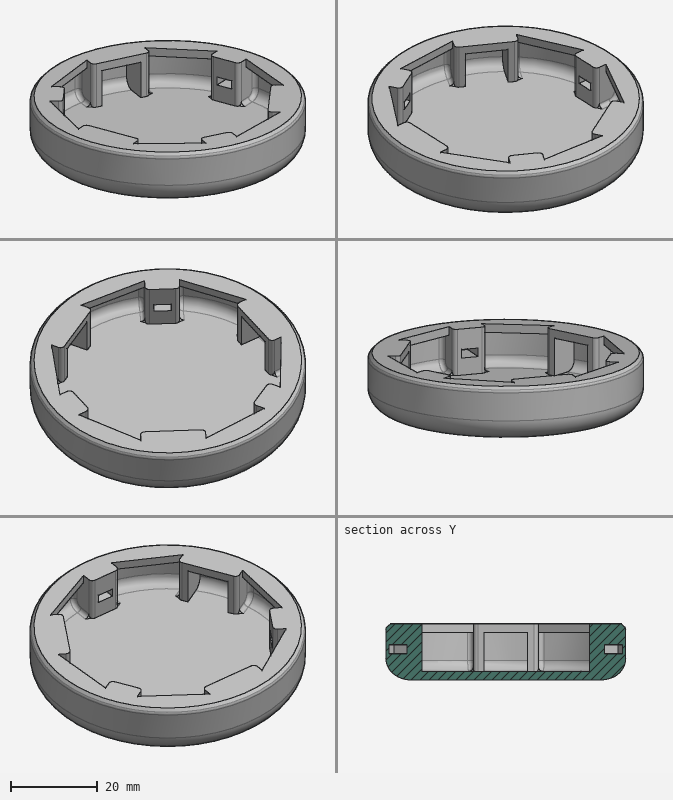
import cadquery as cq
import math

outer_radius = 31.75
height = 13.0
base_round = 5.0
rim_round_drop = 0.65
rim_round_inset = 0.25
rim_bevel_drop = 0.7
rim_bevel_inset = 0.7

floor_thickness = 2.05
wall_radius = 31.0
cavity_round = 2.5
lip_thickness = 2.05
lip_corner_radius = 27.3
lip_bottom = height - lip_thickness

narrow_angles = (90, 210, 330)
narrow_width = 8.0
narrow_front = 24.0
wide_angles = (30, 150, 270)
wide_width = 15.0
wide_front = 23.4
lugs = [(angle, narrow_width, narrow_front) for angle in narrow_angles]
lugs += [(angle, wide_width, wide_front) for angle in wide_angles]
lug_round = 1.0
foot_fillet = 1.0

window_width = 4.0
window_height = 2.05
window_bottom = 6.1
portal_width = 10.05

tolerance = 0.005


def turned(shape, angle):
    return shape.rotate((0, 0, 0), (0, 0, 1), angle)


def outward_block(front, width, bottom, top):
    """Block centred on the X axis, from the front distance out to the outer radius."""
    length = outer_radius - front
    return cq.Workplane("XY", origin=(front, 0, bottom)).box(
        length, width, top - bottom, centered=(False, True, False)
    )


def outer_shell():
    bevel_start = (outer_radius - rim_round_inset, height - rim_bevel_drop)
    return (
        cq.Workplane("XZ")
        .lineTo(outer_radius - base_round, 0)
        .radiusArc((outer_radius, base_round), -base_round)
        .lineTo(outer_radius, height - rim_bevel_drop - rim_round_drop)
        .tangentArcPoint(bevel_start, relative=False)
        .lineTo(bevel_start[0] - rim_bevel_inset, height)
        .lineTo(0, height)
        .close()
        .revolve(360, (0, 0, 0), (0, 1, 0))
    )


def round_cavity():
    """Round hollow between floor and lip, with its floor edge rounded."""
    hollow = (
        cq.Workplane("XY", origin=(0, 0, floor_thickness))
        .circle(wall_radius)
        .extrude(lip_bottom - floor_thickness)
    )
    return hollow.faces("<Z").edges().fillet(cavity_round)


def lip_opening():
    """Twelve-sided hole through the lip, with a corner at each side of each lug."""
    corners = []
    for angle, width, _ in sorted(lugs):
        half_angle = math.asin(width / 2 / lip_corner_radius)
        for side in (-1, 1):
            direction = math.radians(angle) + side * half_angle
            corners.append((lip_corner_radius * math.cos(direction), lip_corner_radius * math.sin(direction)))
    return cq.Workplane("XY", origin=(0, 0, lip_bottom)).polyline(corners).close().extrude(lip_thickness)


def fillet_lug_feet(space, angle, width, front):
    """Fillet the edges where both sides of one lug meet the wall and the floor."""
    facing = turned(space, -angle)
    feet = []
    for edge in facing.edges().vals():
        center = edge.Center()
        on_side = abs(abs(center.y) - width / 2) < tolerance
        at_front = center.x < front + lug_round + tolerance
        at_lip = center.z > lip_bottom - tolerance
        if on_side and not at_front and not at_lip:
            feet.append(edge)
    return turned(facing.newObject(feet).fillet(foot_fillet), angle)


def corner_foot(width, front):
    """Foot at one front corner of a lug, narrowing from the side fillet to nothing at the front."""
    side = width / 2
    inside = side - 2 * lug_round
    top = floor_thickness + foot_fillet
    front_edge = side - lug_round
    fillet_end = (
        cq.Workplane("YZ", origin=(front + lug_round, 0, 0))
        .moveTo(inside, floor_thickness)
        .lineTo(side + foot_fillet, floor_thickness)
        .radiusArc((side, top), foot_fillet)
        .lineTo(inside, top)
        .close()
    )
    flat_end = (
        cq.Workplane("YZ", origin=(front, 0, 0))
        .moveTo(inside, floor_thickness)
        .lineTo(front_edge, floor_thickness)
        .lineTo(front_edge, top)
        .lineTo(inside, top)
        .close()
    )
    return cq.Workplane(cq.Solid.makeLoft([fillet_end.val(), flat_end.val()], True))


def lug_body(width, front):
    """Full-height lug on the X axis with rounded front corners and their feet."""
    lug = outward_block(front, width, 0, height).edges("|Z and <X").fillet(lug_round)
    foot = corner_foot(width, front)
    return lug.union(foot).union(foot.mirror("XZ"))


space = round_cavity()
for angle, width, front in lugs:
    space = space.cut(turned(outward_block(front + lug_round, width, 0, height), angle))
for angle, width, front in lugs:
    space = fillet_lug_feet(space, angle, width, front)

space = space.union(lip_opening())
for angle, width, front in lugs:
    space = space.cut(turned(lug_body(width, front), angle))

window = outward_block(narrow_front, window_width, window_bottom, window_bottom + window_height)
portal = outward_block(wide_front, portal_width, floor_thickness, lip_bottom)
for angle in narrow_angles:
    space = space.union(turned(window, angle).intersect(round_cavity()))
for angle in wide_angles:
    space = space.union(turned(portal, angle).intersect(round_cavity()))

result = outer_shell().cut(space)